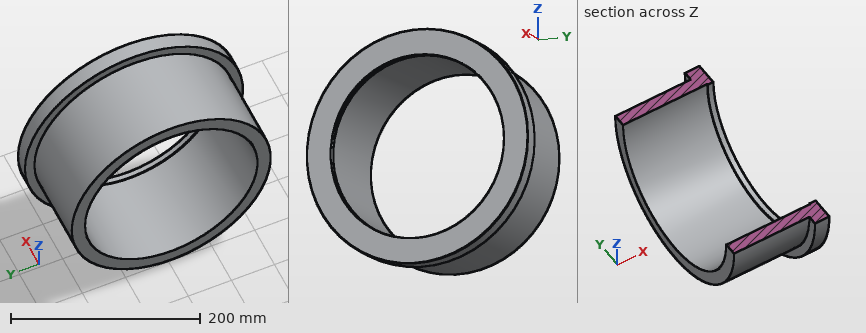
import cadquery as cq

length = 113.0
flange_diameter = 253.0
flange_thickness = 18.5
body_diameter = 231.0
bore_diameter = 200.0
lip_diameter = 198.0
lip_length = 7.3
rim_diameter = 252.0
rim_chamfer = (flange_diameter - rim_diameter) / 2

open_end = -length / 2
flange_end = length / 2


def cylinder(diameter, start, end):
    """Cylinder along X between two positions."""
    return cq.Workplane("YZ", origin=(start, 0, 0)).circle(diameter / 2).extrude(end - start)


body = cylinder(body_diameter, open_end, flange_end)
flange = cylinder(flange_diameter, flange_end - flange_thickness, flange_end)
flange = flange.faces(">X").chamfer(rim_chamfer)

bore = cylinder(bore_diameter, open_end, flange_end - lip_length)
lip_opening = cylinder(lip_diameter, open_end, flange_end)

result = body.union(flange).cut(bore).cut(lip_opening)